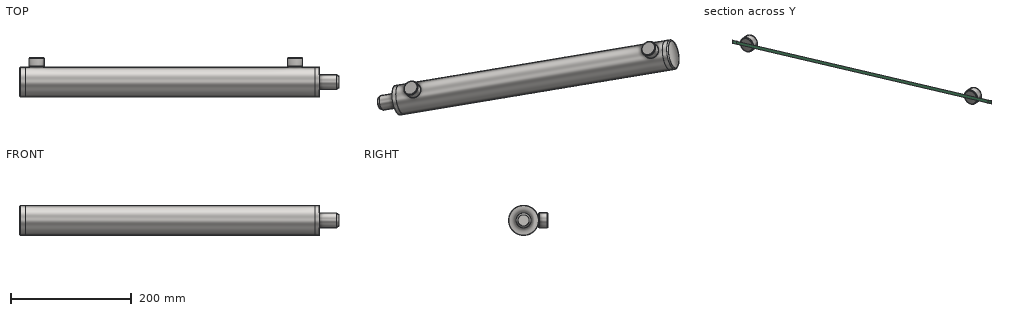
import cadquery as cq

overall_length = 530.0
barrel_diameter = 50.0
barrel_end = 497.0
overall_width = 65.0

cap_length = 10.0
cap_chamfer = 2.0

gland_length = 7.0
rod_diameter = 25.0
rod_tip_length = 5.0
rod_tip_inset = 3.0

port_diameter = 25.5
port_chamfer = 1.3
port_positions = (28.5, 457.0)

barrel_radius = barrel_diameter / 2
port_height = overall_width - barrel_diameter
gland_start = barrel_end - gland_length


def round_bar(start, end, diameter):
    """Solid bar on the X axis between two X positions."""
    return cq.Workplane("YZ", origin=(start, 0, 0)).circle(diameter / 2).extrude(end - start)


def make_end_cap():
    """Disc closing the tube, chamfered around its outer face."""
    return round_bar(0, cap_length, barrel_diameter).faces("<X").chamfer(cap_chamfer)


def make_tube():
    """Main barrel between the end cap and the gland."""
    return round_bar(cap_length, gland_start, barrel_diameter)


def make_gland():
    """Collar at the rod end, flush with the tube."""
    return round_bar(gland_start, barrel_end, barrel_diameter)


def make_rod():
    """Rod standing on the gland, with a tapered tip."""
    tip_start = overall_length - rod_tip_length
    rod_radius = rod_diameter / 2
    half_profile = (
        cq.Workplane("XY")
        .moveTo(barrel_end, 0)
        .lineTo(barrel_end, rod_radius)
        .lineTo(tip_start, rod_radius)
        .lineTo(overall_length, rod_radius - rod_tip_inset)
        .lineTo(overall_length, 0)
        .close()
    )
    return half_profile.revolve(360, (0, 0, 0), (1, 0, 0))


def make_port(x_position):
    """Round boss touching the tube's side, chamfered at both ends."""
    base = cq.Workplane("XZ", origin=(x_position, barrel_radius, 0))
    boss = base.circle(port_diameter / 2).extrude(-port_height)
    return boss.faces("<Y or >Y").chamfer(port_chamfer)


end_cap = make_end_cap()
tube = make_tube()
gland = make_gland()
rod = make_rod()
ports = [make_port(x_position) for x_position in port_positions]

result = cq.Compound.makeCompound(
    [end_cap.val(), tube.val(), gland.val(), rod.val(), *[port.val() for port in ports]]
)